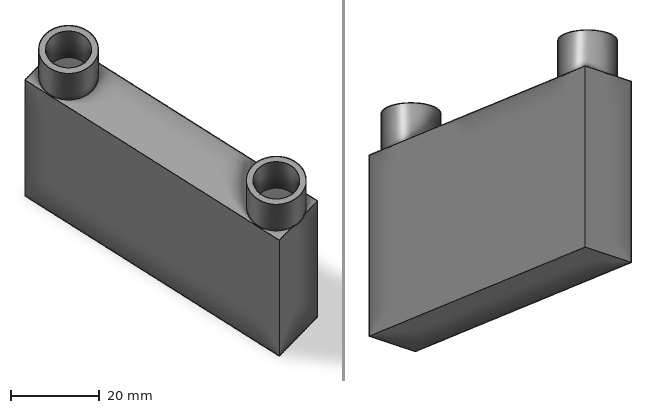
import cadquery as cq

body_length = 72.8
body_width = 14.0
body_height = 43.95

total_length = 73.25
total_height = 54.0
tube_height = total_height - body_height
tube_diameter = 13.5
left_bore = 10.3
right_bore = 10.5
left_tube_x = 7.0
right_tube_x = total_length - tube_diameter / 2
tube_y = 6.95


def make_cylinder(x, diameter):
    """Upright cylinder from the top face of the body to the top of the tubes."""
    return (
        cq.Workplane("XY", origin=(x, tube_y, body_height))
        .circle(diameter / 2)
        .extrude(tube_height)
    )


result = cq.Workplane("XY").box(body_length, body_width, body_height, centered=False)

for tube_x, bore in ((left_tube_x, left_bore), (right_tube_x, right_bore)):
    tube = make_cylinder(tube_x, tube_diameter).cut(make_cylinder(tube_x, bore))
    result = result.union(tube)